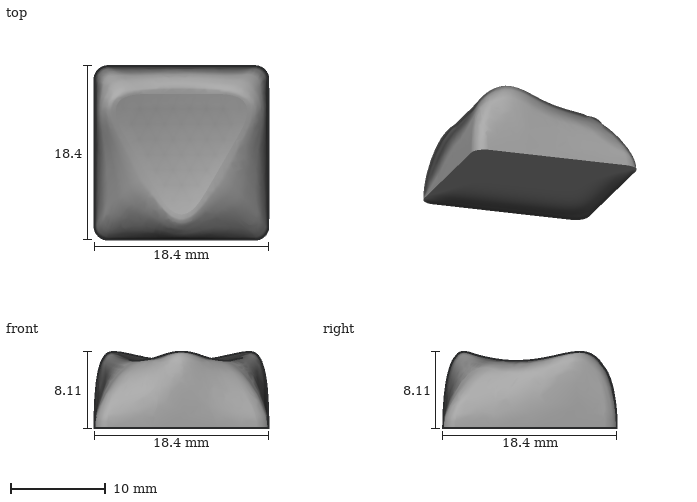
import math

import cadquery as cq

BASE_LENGTH_X = 18.44
BASE_LENGTH_Y = 18.40
BASE_CORNER_RADIUS = 1.5

DISH_CENTRE_Y = 1.30
RIM_SIDES = 3
RIM_INRADIUS = 4.95
RIM_SHARPNESS = 2.9
DISH_FLOOR_Z = 6.50
DISH_SPHERE_RADIUS = 20.8

WALL_RISE = 0.66
WALL_RISE_LOSS = 0.035
LIP_REACH = 1.60
LIP_REACH_SHARE = 0.14

RING_POINTS = 144
CORNER_CROWDING = 0.6
RING_COUNT = 9
TINY = 1e-9


def base_point(angle):
    """Where a ray from the origin meets the rounded square base."""
    ray_x = math.cos(angle)
    ray_y = math.sin(angle)
    half_x = BASE_LENGTH_X / 2
    half_y = BASE_LENGTH_Y / 2
    radius = min(half_x / max(abs(ray_x), TINY), half_y / max(abs(ray_y), TINY))
    corner_x = half_x - BASE_CORNER_RADIUS
    corner_y = half_y - BASE_CORNER_RADIUS
    if radius * abs(ray_x) > corner_x and radius * abs(ray_y) > corner_y:
        along = corner_x * abs(ray_x) + corner_y * abs(ray_y)
        across = corner_x * abs(ray_y) - corner_y * abs(ray_x)
        radius = along + math.sqrt(BASE_CORNER_RADIUS**2 - across**2)
    return cq.Vector(radius * ray_x, radius * ray_y, 0)


def rim_radius(angle):
    """Plan radius of the dish rim: a smooth blend of the three sides of a triangle."""
    total = 0.0
    for side in range(RIM_SIDES):
        normal_angle = math.pi / 2 + side * 2 * math.pi / RIM_SIDES
        total += max(0.0, math.cos(angle - normal_angle)) ** RIM_SHARPNESS
    return RIM_INRADIUS * total ** (-1 / RIM_SHARPNESS)


def depth_below_sphere_centre(radius):
    """How far the dish lies below the centre of its sphere, at a distance from its axis."""
    return math.sqrt(DISH_SPHERE_RADIUS**2 - radius**2)


def dish_height(radius):
    """Height of the spherical dish at a distance from its axis."""
    return DISH_FLOOR_Z + DISH_SPHERE_RADIUS - depth_below_sphere_centre(radius)


def dish_point(angle, radius):
    """Point on the dish at a direction and distance from its axis."""
    return cq.Vector(
        radius * math.cos(angle),
        DISH_CENTRE_Y + radius * math.sin(angle),
        dish_height(radius),
    )


def wall_point(angle, climb):
    """Point on the outer wall; climb runs from 0 at the base to 1 at the dish rim.

    The wall section is a cubic Bezier curve: upright at the base, tangent to the dish at the rim.
    """
    base = base_point(angle)
    radius = rim_radius(angle)
    rim = dish_point(angle, radius)
    gap = cq.Vector(base.x - rim.x, base.y - rim.y, 0)
    rise = (WALL_RISE - WALL_RISE_LOSS * gap.Length) * rim.z
    upright = base + cq.Vector(0, 0, rise)
    outward = gap.normalized() * (LIP_REACH + LIP_REACH_SHARE * gap.Length)
    radial_reach = outward.x * math.cos(angle) + outward.y * math.sin(angle)
    slope = radius / depth_below_sphere_centre(radius)
    lip = rim + outward + cq.Vector(0, 0, radial_reach * slope)

    rest = 1 - climb
    return (
        base * rest**3
        + upright * (3 * rest**2 * climb)
        + lip * (3 * rest * climb**2)
        + rim * climb**3
    )


def wall_ring(climb):
    """Closed curve around the part at one climb."""
    points = []
    for index in range(RING_POINTS):
        turn = 2 * math.pi * index / RING_POINTS
        angle = turn + CORNER_CROWDING / 4 * math.sin(4 * turn)
        points.append(wall_point(angle, climb))
    return cq.Wire.assembleEdges([cq.Edge.makeSpline(points, periodic=True)])


def make_dish(rim):
    """Spherical face bounded by the rim."""
    centre = cq.Vector(0, DISH_CENTRE_Y, DISH_FLOOR_Z + DISH_SPHERE_RADIUS)
    poles = cq.Vector(0, 1, 0)
    sphere = cq.Solid.makeSphere(DISH_SPHERE_RADIUS, centre, poles, -90, 90, 360)
    return cq.Face.constructOn(sphere.Faces()[0], rim).fix()


def make_keycap():
    """Solid bounded by the flat base, the wall and the dish."""
    rings = [wall_ring(index / (RING_COUNT - 1)) for index in range(RING_COUNT)]
    wall = cq.occ_impl.shapes.loft(*rings)
    base = cq.Face.makeFromWires(rings[0])
    dish = make_dish(rings[-1])
    return cq.occ_impl.shapes.solid(cq.occ_impl.shapes.shell(wall, base, dish))


result = cq.Workplane("XY").add(make_keycap())